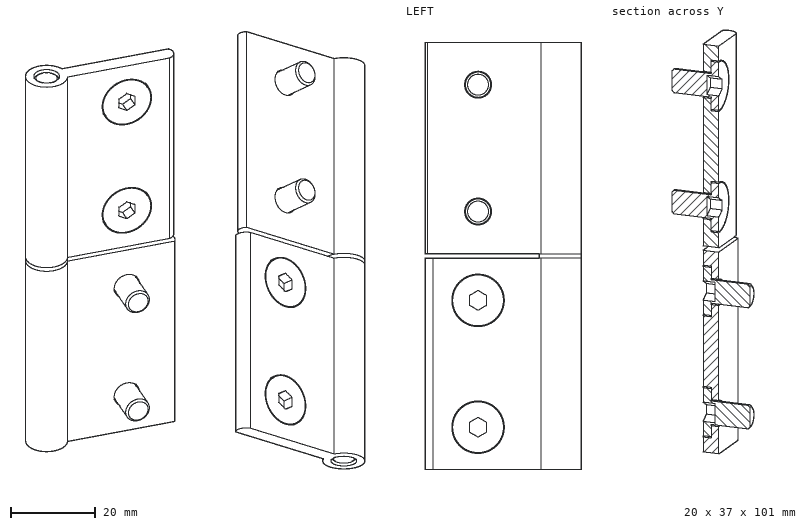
import cadquery as cq
import math

TOTAL_HEIGHT = 101.0
COLLAR_HEIGHT = 1.0
LEAF_HEIGHT = (TOTAL_HEIGHT - COLLAR_HEIGHT) / 2
BARREL_RADIUS = 10.0 / 2
HINGE_DEPTH = 37.0
HINGE_WIDTH = 20.0
LEAF_THICKNESS = 4.0
HALF_THICKNESS = LEAF_THICKNESS / 2

FREE_EDGE_Y = HINGE_DEPTH - BARREL_RADIUS
EDGE_RADIUS = 2.5
EDGE_CREST_X = 0.4

PIN_DIAMETER = 6.1
PIN_RECESS = 0.5
PIN_CHAMFER = 0.5

SCREW_DIAMETER = 6.0
SCREW_HOLE_DIAMETER = 6.4
SCREW_REACH = HINGE_WIDTH / 2
SCREW_CHAMFER = 0.5
HEAD_DIAMETER = 12.0
HEAD_HEIGHT = 2.0
COUNTERBORE_DIAMETER = 12.4
SOCKET_FLATS = 4.0
SOCKET_DEPTH = 3.0
SCREW_EDGE_DISTANCE = 12.5
SCREW_Y = FREE_EDGE_Y - SCREW_EDGE_DISTANCE
SCREW_END_MARGIN = 10.0
SCREW_HEIGHTS = (SCREW_END_MARGIN, LEAF_HEIGHT - SCREW_END_MARGIN)


def edge_y(x):
    """Y of the rounded free edge at a given X."""
    drop = EDGE_RADIUS - math.sqrt(EDGE_RADIUS**2 - (x - EDGE_CREST_X) ** 2)
    return FREE_EDGE_Y - drop


def x_cylinder(diameter, start_x, length, z):
    """Cylinder along +X on a screw axis at height z."""
    plane = cq.Plane(origin=(start_x, SCREW_Y, z), xDir=(0, 1, 0), normal=(1, 0, 0))
    return cq.Workplane(plane).circle(diameter / 2).extrude(length)


def make_leaf():
    """Lower leaf, with its screw heads let into the -X face."""
    plate = (
        cq.Workplane("XY")
        .moveTo(-HALF_THICKNESS, 0)
        .lineTo(HALF_THICKNESS, 0)
        .lineTo(HALF_THICKNESS, edge_y(HALF_THICKNESS))
        .threePointArc((EDGE_CREST_X, FREE_EDGE_Y), (-HALF_THICKNESS, edge_y(-HALF_THICKNESS)))
        .close()
        .extrude(LEAF_HEIGHT)
    )
    barrel = cq.Workplane("XY").circle(BARREL_RADIUS).extrude(LEAF_HEIGHT)
    bore = cq.Workplane("XY").circle(PIN_DIAMETER / 2).extrude(LEAF_HEIGHT)
    leaf = plate.union(barrel).cut(bore)
    for z in SCREW_HEIGHTS:
        leaf = leaf.cut(x_cylinder(SCREW_HOLE_DIAMETER, -HALF_THICKNESS, LEAF_THICKNESS, z))
        leaf = leaf.cut(x_cylinder(COUNTERBORE_DIAMETER, -HALF_THICKNESS, HEAD_HEIGHT, z))
    return leaf


def make_screw(z):
    """Socket screw with its head flush with the -X face and its tip toward +X."""
    shank = x_cylinder(SCREW_DIAMETER, -HALF_THICKNESS, HALF_THICKNESS + SCREW_REACH, z)
    shank = shank.faces(">X").chamfer(SCREW_CHAMFER)
    head = x_cylinder(HEAD_DIAMETER, -HALF_THICKNESS, HEAD_HEIGHT, z)
    socket_plane = cq.Plane(origin=(-HALF_THICKNESS, SCREW_Y, z), xDir=(0, 0, 1), normal=(1, 0, 0))
    socket_corners = SOCKET_FLATS / math.cos(math.pi / 6)
    socket = cq.Workplane(socket_plane).polygon(6, socket_corners).extrude(SOCKET_DEPTH)
    return head.union(shank).cut(socket)


def make_pin():
    """Pin through both barrels, with the collar that keeps the leaves apart."""
    shaft = (
        cq.Workplane("XY", origin=(0, 0, PIN_RECESS))
        .circle(PIN_DIAMETER / 2)
        .extrude(TOTAL_HEIGHT - 2 * PIN_RECESS)
        .faces("<Z or >Z")
        .chamfer(PIN_CHAMFER)
    )
    collar = cq.Workplane("XY", origin=(0, 0, LEAF_HEIGHT)).circle(BARREL_RADIUS).extrude(COLLAR_HEIGHT)
    return shaft.union(collar)


def to_upper(body):
    """Turn a lower body half a turn about the Y direction at mid-height."""
    middle = TOTAL_HEIGHT / 2
    return body.rotate((0, 0, middle), (0, 1, middle), 180)


lower_leaf = make_leaf()
upper_leaf = to_upper(make_leaf())
pin = make_pin()

screws = []
for screw_z in SCREW_HEIGHTS:
    screws.append(make_screw(screw_z))
    screws.append(to_upper(make_screw(screw_z)))

result = cq.Compound.makeCompound(
    [lower_leaf.val(), upper_leaf.val(), pin.val(), *[screw.val() for screw in screws]]
)